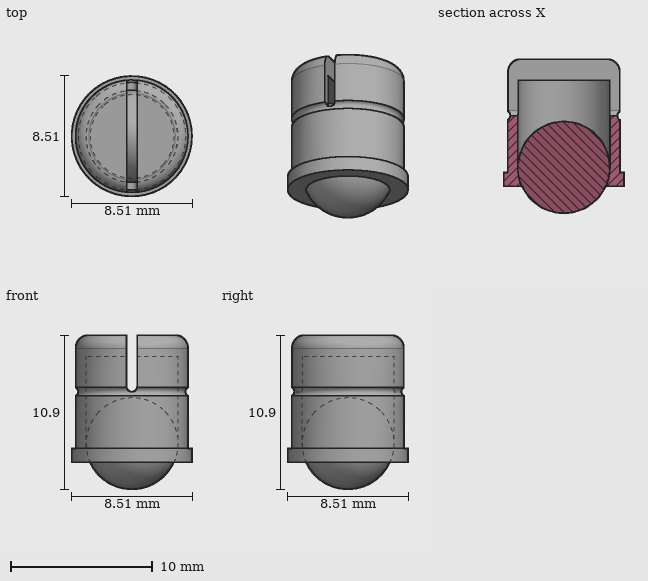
import cadquery as cq
import math

flange_diameter = 8.51
flange_height = 1.0
body_diameter = 7.95
housing_height = 9.0
top_edge_radius = 0.92

groove_z = 5.0
groove_width = 0.6
groove_depth = 0.18

slot_width = 0.74
slot_floor_z = groove_z

ball_diameter = 6.5
ball_projection = 1.9
ball_radius = ball_diameter / 2
ball_center_z = ball_radius - ball_projection

roof_thickness = 1.5
bore_top_z = housing_height - roof_thickness


def make_ball():
    return cq.Workplane("XY").sphere(ball_radius).translate((0, 0, ball_center_z))


def make_shell():
    """Solid of revolution with flange, groove and rounded top edge."""
    flange_radius = flange_diameter / 2
    body_radius = body_diameter / 2
    round_offset = top_edge_radius * math.sqrt(0.5)
    round_center_x = body_radius - top_edge_radius
    round_center_z = housing_height - top_edge_radius
    half_groove = groove_width / 2
    return (
        cq.Workplane("XZ")
        .lineTo(flange_radius, 0)
        .lineTo(flange_radius, flange_height)
        .lineTo(body_radius, flange_height)
        .lineTo(body_radius, groove_z - half_groove)
        .threePointArc((body_radius - groove_depth, groove_z), (body_radius, groove_z + half_groove))
        .lineTo(body_radius, round_center_z)
        .threePointArc(
            (round_center_x + round_offset, round_center_z + round_offset),
            (round_center_x, housing_height),
        )
        .lineTo(0, housing_height)
        .close()
        .revolve(360, (0, 0, 0), (0, 1, 0))
    )


def make_cavity():
    """Cylindrical bore that continues down into a spherical seat fitting the ball."""
    bore = (
        cq.Workplane("XY")
        .workplane(offset=ball_center_z)
        .circle(ball_radius)
        .extrude(bore_top_z - ball_center_z)
    )
    return bore.union(make_ball())


def make_slot():
    """Slot running through along Y and open at the top."""
    half_width = slot_width / 2
    round_z = slot_floor_z + half_width
    return (
        cq.Workplane("XZ")
        .moveTo(-half_width, housing_height)
        .lineTo(-half_width, round_z)
        .threePointArc((0, slot_floor_z), (half_width, round_z))
        .lineTo(half_width, housing_height)
        .close()
        .extrude(flange_diameter / 2, both=True)
    )


housing = make_shell().cut(make_cavity()).cut(make_slot())
ball = make_ball()

result = cq.Compound.makeCompound([housing.val(), ball.val()])